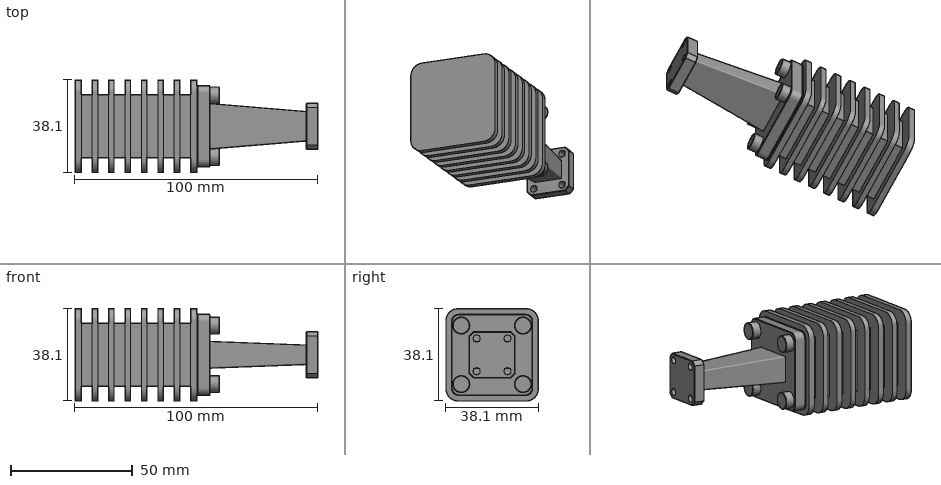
import cadquery as cq

total_length = 100.0
sink_length = 50.1
seat_thickness = 0.3
flange_thickness = 5.1
flange_start = sink_length + seat_thickness
flange_end = flange_start + flange_thickness

fin_size = 38.1
fin_corner = 5.1
fin_count = 8
end_fin_thickness = 2.6
middle_fin_thickness = 2.3
core_size = 26.0
fins_stack = 2 * end_fin_thickness + (fin_count - 2) * middle_fin_thickness
fin_gap = (sink_length - fins_stack) / (fin_count - 1)

flange_size = 33.4
flange_corner = 3.0
flange_edge_chamfer = 0.25

wide_width = 18.8
wide_height = 11.1
narrow_width = 12.2
narrow_height = 8.1
taper_edge_fillet = 0.5

end_flange_size = 19.0
end_flange_thickness = 4.9
end_flange_corner = 1.8
end_flange_edge_chamfer = 0.25
end_hole_diameter = 2.9
end_hole_spacing_y = 12.7
end_hole_spacing_z = 13.5
end_flange_start = total_length - end_flange_thickness

screw_head_diameter = 7.0
screw_head_length = 3.9
screw_head_chamfer = 0.2
screw_spacing_y = 25.4
screw_spacing_z = 24.1


def section_plane(x):
    """Plane across the X axis, with local x along Y and local y along Z."""
    return cq.Workplane("YZ", origin=(x, 0, 0))


def square_plate(x, size, thickness):
    """Square plate centred on the X axis, growing from x toward +X."""
    return section_plane(x).rect(size, size).extrude(thickness)


def rounded_plate(x, size, thickness, corner_radius):
    """Square plate with its four corners rounded."""
    return square_plate(x, size, thickness).edges("|X").fillet(corner_radius)


def make_heat_sink():
    """Core with rounded square fins, and a thin seat for the large flange."""
    sink = square_plate(0, core_size, sink_length)
    fin_start = 0
    for index in range(fin_count):
        is_end_fin = index in (0, fin_count - 1)
        thickness = end_fin_thickness if is_end_fin else middle_fin_thickness
        sink = sink.union(rounded_plate(fin_start, fin_size, thickness, fin_corner))
        fin_start += thickness + fin_gap
    return sink.union(rounded_plate(sink_length, flange_size, seat_thickness, flange_corner))


def make_large_flange():
    """Rounded square plate that bolts against the heat sink."""
    plate = rounded_plate(flange_start, flange_size, flange_thickness, flange_corner)
    return plate.faces("<X or >X").edges().chamfer(flange_edge_chamfer)


def make_taper():
    """Rectangular section shrinking from the large flange to the end flange."""
    taper_length = end_flange_start - flange_end
    taper = (
        section_plane(flange_end)
        .rect(wide_width, wide_height)
        .workplane(offset=taper_length)
        .rect(narrow_width, narrow_height)
        .loft(ruled=True)
    )
    long_edges = taper.edges("not(<X or >X)")
    return long_edges.fillet(taper_edge_fillet)


def make_end_flange():
    """Small square plate with cut corners and four mounting holes."""
    plate = square_plate(end_flange_start, end_flange_size, end_flange_thickness)
    plate = plate.edges("|X").chamfer(end_flange_corner)
    plate = plate.faces("<X or >X").edges().chamfer(end_flange_edge_chamfer)
    holes = (
        section_plane(end_flange_start)
        .rect(end_hole_spacing_y, end_hole_spacing_z, forConstruction=True)
        .vertices()
        .circle(end_hole_diameter / 2)
        .extrude(end_flange_thickness)
    )
    return plate.cut(holes)


def make_waveguide():
    """Both flanges and the taper between them, as one piece."""
    return make_large_flange().union(make_taper()).union(make_end_flange())


def make_screw_head(y, z):
    """Round screw head seated on the large flange."""
    head = cq.Workplane("YZ", origin=(flange_end, y, z))
    head = head.circle(screw_head_diameter / 2).extrude(screw_head_length)
    return head.faces(">X").edges().chamfer(screw_head_chamfer)


heat_sink = make_heat_sink()
waveguide = make_waveguide()
screw_heads = []
for side_y in (-1, 1):
    for side_z in (-1, 1):
        head = make_screw_head(side_y * screw_spacing_y / 2, side_z * screw_spacing_z / 2)
        screw_heads.append(head.val())

result = cq.Compound.makeCompound([heat_sink.val(), waveguide.val(), *screw_heads])